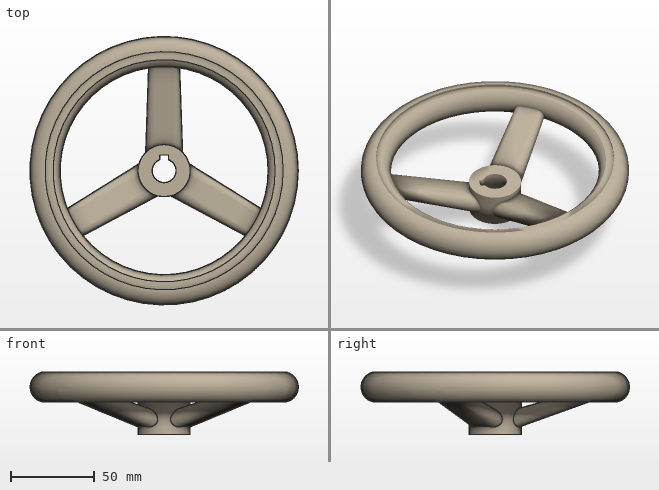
import cadquery as cq
import math

outer_radius = 80.0
rim_section_radius = 9.04
overall_height = 37.5
rim_center_radius = outer_radius - rim_section_radius
rim_center_z = overall_height - rim_section_radius
step_width = 4.8
step_floor_z = rim_center_z + math.sqrt(rim_section_radius**2 - step_width**2)

hub_radius = 15.5
hub_height = 20.0
bore_radius = 7.0
key_width = 5.0
key_top = 9.3

spoke_count = 3
first_spoke_angle = 90.0
spoke_flat_width = 11.4
spoke_inner_thickness = 11.0
spoke_outer_thickness = 6.7
spoke_start_radius = 8.0
spoke_start_z = 8.2


def make_rim():
    ring = (
        cq.Workplane("XZ")
        .center(rim_center_radius, rim_center_z)
        .circle(rim_section_radius)
        .revolve(360, (-rim_center_radius, 0), (-rim_center_radius, 1))
    )
    step = (
        cq.Workplane("XY", origin=(0, 0, step_floor_z))
        .circle(rim_center_radius)
        .extrude(overall_height - step_floor_z)
    )
    return ring.cut(step)


def make_spoke(angle):
    run = rim_center_radius - spoke_start_radius
    rise = rim_center_z - spoke_start_z
    plane = cq.Plane(
        origin=(spoke_start_radius, 0, spoke_start_z),
        xDir=(0, 1, 0),
        normal=(run, 0, rise),
    )
    spoke = (
        cq.Workplane(plane)
        .slot2D(spoke_flat_width + spoke_inner_thickness, spoke_inner_thickness)
        .workplane(offset=math.hypot(run, rise))
        .slot2D(spoke_flat_width + spoke_outer_thickness, spoke_outer_thickness)
        .loft(ruled=True)
    )
    return spoke.rotate((0, 0, 0), (0, 0, 1), angle)


def make_bore():
    bore = cq.Workplane("XY").circle(bore_radius).extrude(hub_height)
    keyway = (
        cq.Workplane("XY")
        .center(0, key_top / 2)
        .rect(key_width, key_top)
        .extrude(hub_height)
    )
    return bore.union(keyway)


hub = cq.Workplane("XY").circle(hub_radius).extrude(hub_height)
wheel = make_rim().union(hub)
for index in range(spoke_count):
    wheel = wheel.union(make_spoke(first_spoke_angle + index * 360 / spoke_count))

result = wheel.cut(make_bore())